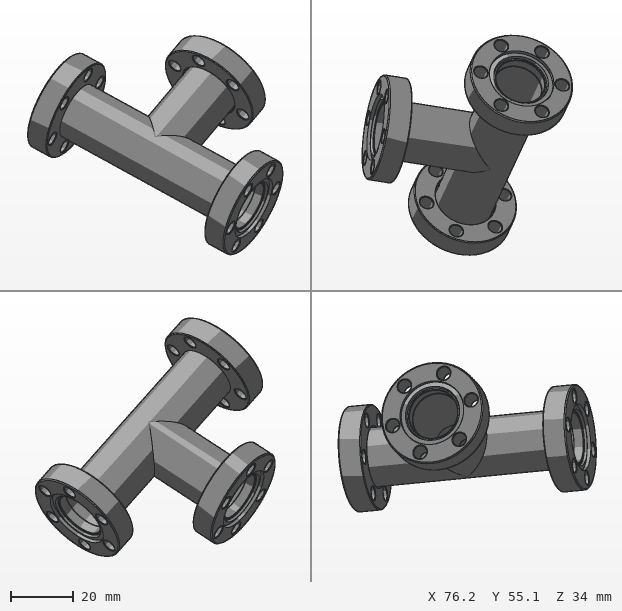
import cadquery as cq


PORT_REACH = 38.1
FLANGE_RADIUS = 17.0
FLANGE_THICKNESS = 7.6
FACE_CHAMFER = 0.4
BACK_CHAMFER = 0.3

TUBE_RADIUS = 9.5
TUBE_BORE_RADIUS = 7.85
TUBE_END_DEPTH = 4.8
TUBE_REACH = PORT_REACH - TUBE_END_DEPTH

BOLT_COUNT = 6
BOLT_CIRCLE_RADIUS = 13.5
BOLT_HOLE_RADIUS = 2.2
BOLT_HOLE_CHAMFER = 0.2
ROTATION_ANGLE = -17.0

RECESS_RADIUS = 10.7
RECESS_DEPTH = 1.2
KNIFE_RADIUS = 9.1
KNIFE_DEPTH = 0.7
KNIFE_ROOT_RADIUS = 8.8
KNIFE_ROOT_DEPTH = 1.5
BORE_RADIUS = 8.1
BORE_CHAMFER = 0.2

COLLAR_BACK_DEPTH = 5.3
RING_HOLE_RADIUS = 10.0
RING_HOLE_CHAMFER = 0.15


def cylinder(radius, top, bottom):
    """Cylinder on the Z axis between two heights."""
    return cq.Workplane("XY").workplane(offset=bottom).circle(radius).extrude(top - bottom)


def bolt_hole_cutter():
    """Bolt hole on the bolt circle, with a chamfer at both mouths."""
    mouth_radius = BOLT_HOLE_RADIUS + BOLT_HOLE_CHAMFER
    profile = [
        (0, 0),
        (mouth_radius, 0),
        (BOLT_HOLE_RADIUS, -BOLT_HOLE_CHAMFER),
        (BOLT_HOLE_RADIUS, BOLT_HOLE_CHAMFER - FLANGE_THICKNESS),
        (mouth_radius, -FLANGE_THICKNESS),
        (0, -FLANGE_THICKNESS),
    ]
    hole = cq.Workplane("XZ").polyline(profile).close().revolve(360, (0, 0), (0, 1))
    return hole.translate((BOLT_CIRCLE_RADIUS, 0, 0))


def drilled_disc():
    """Flange disc with chamfered rims and its circle of bolt holes."""
    disc = cylinder(FLANGE_RADIUS, 0, -FLANGE_THICKNESS)
    disc = disc.faces(">Z").chamfer(FACE_CHAMFER)
    disc = disc.faces("<Z").chamfer(BACK_CHAMFER)
    hole = bolt_hole_cutter()
    for index in range(BOLT_COUNT):
        disc = disc.cut(hole.rotate((0, 0, 0), (0, 0, 1), index * 360 / BOLT_COUNT))
    return disc


def seal_cutter():
    """Space in front of the knife edge, the bore and the socket for the tube end."""
    profile = [
        (0, 0),
        (RECESS_RADIUS, 0),
        (RECESS_RADIUS, -RECESS_DEPTH),
        (KNIFE_RADIUS, -KNIFE_DEPTH),
        (KNIFE_ROOT_RADIUS, -KNIFE_ROOT_DEPTH),
        (BORE_RADIUS + BORE_CHAMFER, -KNIFE_ROOT_DEPTH),
        (BORE_RADIUS, -KNIFE_ROOT_DEPTH - BORE_CHAMFER),
        (BORE_RADIUS, -TUBE_END_DEPTH),
        (TUBE_RADIUS, -TUBE_END_DEPTH),
        (TUBE_RADIUS, -FLANGE_THICKNESS),
        (0, -FLANGE_THICKNESS),
    ]
    return cq.Workplane("XZ").polyline(profile).close().revolve(360, (0, 0), (0, 1))


def fixed_flange():
    """One-piece flange with the knife edge cut into it."""
    return drilled_disc().cut(seal_cutter())


def rotatable_ring():
    """Bolt ring with a seat for the collar and a clearance hole around the tube."""
    seat = cylinder(RECESS_RADIUS, 0, -COLLAR_BACK_DEPTH)
    hole = cylinder(RING_HOLE_RADIUS, 0, -FLANGE_THICKNESS)
    ring = drilled_disc().cut(seat).cut(hole)
    return ring.faces("<Z").edges(cq.selectors.RadiusNthSelector(-2)).chamfer(RING_HOLE_CHAMFER)


def collar():
    """Knife-edge collar that sits inside a rotatable ring and holds the tube end."""
    return cylinder(RECESS_RADIUS, 0, -COLLAR_BACK_DEPTH).cut(seal_cutter())


def three_way(radius, reach):
    """Cylinder along X joined by an equal cylinder from the centre toward +Y."""
    run = cq.Workplane("YZ").circle(radius).extrude(reach, both=True)
    branch = cq.Workplane("XZ").circle(radius).extrude(-reach)
    return run.union(branch)


def tee_tube():
    """Three-way tube, open at its three ends."""
    return three_way(TUBE_RADIUS, TUBE_REACH).cut(three_way(TUBE_BORE_RADIUS, TUBE_REACH))


def at_port(body, outward, hole_direction, turn=0):
    """Solid turned about its axis, then placed with its sealing face on an outward-facing port."""
    centre = cq.Vector(*outward) * PORT_REACH
    port = cq.Plane(origin=centre, xDir=hole_direction, normal=outward)
    turned = body.rotate((0, 0, 0), (0, 0, 1), turn)
    return turned.val().moved(cq.Location(port))


ROTATABLE_PORTS = [
    ((1, 0, 0), (0, 1, 0)),
    ((0, 1, 0), (0, 0, 1)),
]

tee = tee_tube().val()
fixed = at_port(fixed_flange(), (-1, 0, 0), (0, 1, 0))

rings = []
collars = []
for outward, hole_direction in ROTATABLE_PORTS:
    rings.append(at_port(rotatable_ring(), outward, hole_direction, ROTATION_ANGLE))
    collars.append(at_port(collar(), outward, hole_direction))

result = cq.Compound.makeCompound([tee, fixed, *rings, *collars])